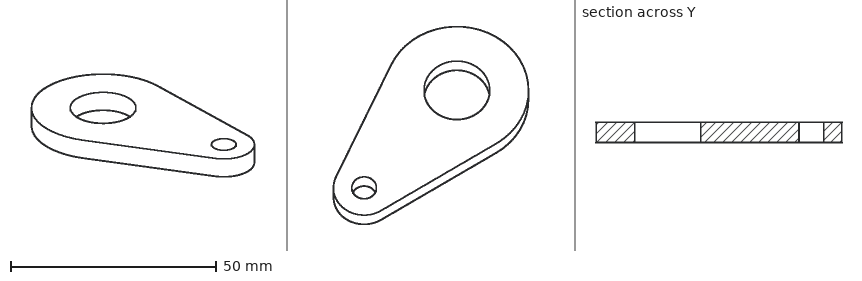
import cadquery as cq
import math

length = 60.0
width = 35.0
thickness = 5.0
small_end_radius = 7.5
large_hole_diameter = 16.0
small_hole_diameter = 6.0

large_end_radius = width / 2
center_distance = length - large_end_radius - small_end_radius

tangent_angle = math.acos((large_end_radius - small_end_radius) / center_distance)


def tangent_point(center_x, radius):
    """Upper point where a straight side meets the end arc."""
    return (
        center_x + radius * math.cos(tangent_angle),
        radius * math.sin(tangent_angle),
    )


def mirrored(point):
    """Matching point on the other side of the X axis."""
    return (point[0], -point[1])


def make_plate():
    """Teardrop plate: two end arcs joined by tangent sides."""
    large_tangent = tangent_point(0, large_end_radius)
    small_tangent = tangent_point(center_distance, small_end_radius)
    return (
        cq.Workplane("XY")
        .moveTo(*large_tangent)
        .lineTo(*small_tangent)
        .threePointArc((center_distance + small_end_radius, 0), mirrored(small_tangent))
        .lineTo(*mirrored(large_tangent))
        .threePointArc((-large_end_radius, 0), large_tangent)
        .close()
        .extrude(thickness)
    )


def make_hole(center_x, diameter):
    """Cutter for a hole through the full thickness."""
    return cq.Workplane("XY").center(center_x, 0).circle(diameter / 2).extrude(thickness)


result = (
    make_plate()
    .cut(make_hole(0, large_hole_diameter))
    .cut(make_hole(center_distance, small_hole_diameter))
)